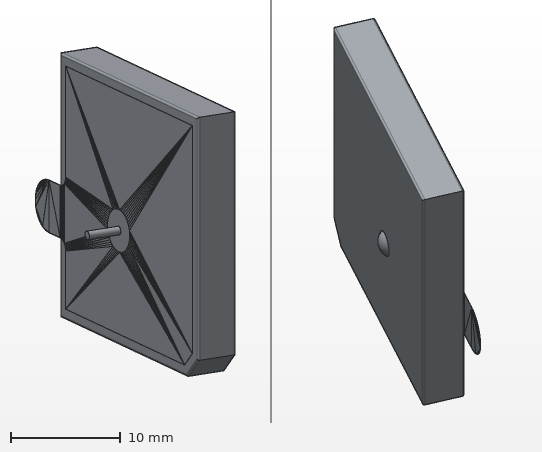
import cadquery as cq
import math

overall_length = 29.5
block_side = 25.0
block_depth = 4.0
rim_radius = 0.2
corner_cut = 2.0
tape_inset = 1.0
tape_thickness = 5.9e-05
tab_width = 5.0
tab_z = -2.5
tab_root_radius = 1.0
tape_hole_radius = 2.0
pin_diameter = 0.8
pin_length = 3.3
pin_x = -1.9
pin_z = -1.7
dome_radius = 1.2
dome_height = 0.6

half_side = block_side / 2
tab_tip_x = half_side - overall_length
tab_radius = tab_width / 2
dome_sphere_radius = (dome_radius**2 + dome_height**2) / (2 * dome_height)


def front_plane(y):
    """Sketch plane facing -Y at the given Y, with local axes along X and Z."""
    return cq.Workplane("XZ", origin=(0, y, 0))


def cut_square(plane, half, cut):
    """Square outline with its lower +X corner cut off."""
    return plane.polyline([
        (-half, -half),
        (half - cut, -half),
        (half, -half + cut),
        (half, half),
        (-half, half),
    ]).close()


def make_dome():
    """Spherical solder cap on the back face."""
    ball_y = block_depth + dome_height - dome_sphere_radius
    ball = cq.Workplane("XY").sphere(dome_sphere_radius).translate((pin_x, ball_y, pin_z))
    behind = front_plane(block_depth).rect(block_side, block_side).extrude(-block_depth)
    return ball.intersect(behind)


def make_antenna():
    """Block with rounded face rims, front pin and rear solder dome."""
    block = cut_square(front_plane(0), half_side, corner_cut).extrude(-block_depth)
    block = block.faces("<Y or >Y").edges().fillet(rim_radius)
    pin = front_plane(0).center(pin_x, pin_z).circle(pin_diameter / 2).extrude(pin_length)
    return block.union(pin).union(make_dome())


def make_tape():
    """Thin adhesive tape on the front face, with a round pull tab past the block."""
    tape_half = half_side - tape_inset
    tape_cut = corner_cut - tape_inset * (2 - math.sqrt(2))
    tab_top = tab_z + tab_radius
    tab_bottom = tab_z - tab_radius
    tape = (
        front_plane(0)
        .moveTo(-tape_half, -tape_half)
        .lineTo(tape_half - tape_cut, -tape_half)
        .lineTo(tape_half, -tape_half + tape_cut)
        .lineTo(tape_half, tape_half)
        .lineTo(-tape_half, tape_half)
        .lineTo(-tape_half, tab_top + tab_root_radius)
        .radiusArc((-tape_half - tab_root_radius, tab_top), tab_root_radius)
        .lineTo(tab_tip_x + tab_radius, tab_top)
        .threePointArc((tab_tip_x, tab_z), (tab_tip_x + tab_radius, tab_bottom))
        .lineTo(-tape_half - tab_root_radius, tab_bottom)
        .radiusArc((-tape_half, tab_bottom - tab_root_radius), tab_root_radius)
        .close()
        .extrude(tape_thickness)
    )
    hole = front_plane(0).center(pin_x, pin_z).circle(tape_hole_radius).extrude(tape_thickness)
    return tape.cut(hole)


antenna = make_antenna()
tape = make_tape()
result = cq.Compound.makeCompound([antenna.val(), tape.val()])